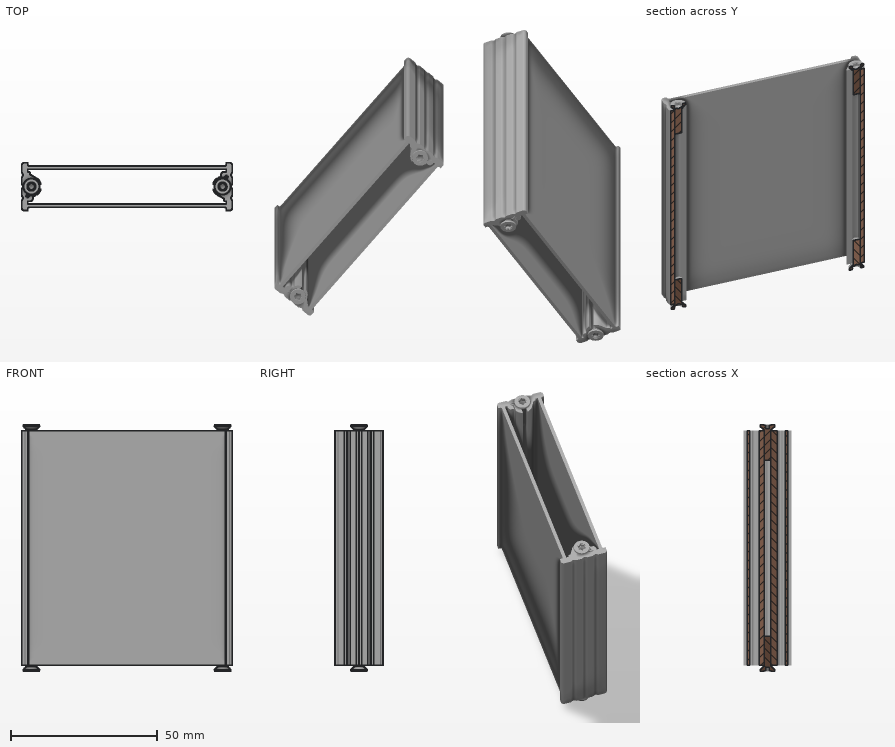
import cadquery as cq
import math


overall_width = 71.8
overall_depth = 16.4
overall_height = 84.0
shell_length = 80.0
half_width = overall_width / 2
half_depth = overall_depth / 2

wall_thickness = 2.2
wall_corner_radius = 1.0
groove_pitch = 3.95
groove_half_width = 1.0
groove_half_bottom = 0.2
groove_depth = 0.4

panel_outer_y = 7.05
panel_thickness = 1.2
panel_inner_y = panel_outer_y - panel_thickness
panel_chamfer = 0.29
panel_overlap = 0.4

screw_inset = 3.4
screw_x = half_width - screw_inset
boss_radius = 3.4
boss_flank_angle = math.radians(30)
hole_diameter = 2.7
slot_half_width = 0.8

rail_y = 5.0
upper_rail_inset = 2.9
upper_rail_chamfer = 0.3
lower_rail_inset = 3.95
lower_rail_radius = 1.1

slit_width = 0.25
inner_slit_path = [(2.2, 0.0), (2.0, -2.4), (1.5, -3.4)]
lower_slit_path = [(2.0, -3.9), (2.8, -3.1), (5.9, -3.1)]

head_top_diameter = 5.4
head_rim_diameter = 5.55
head_rim = 0.6
neck_diameter = 3.2
cone_height = (head_rim_diameter - neck_diameter) / 2
head_height = (overall_height - shell_length) / 2
shank_length = 10.1
socket_diameter = 2.9
socket_step = 0.2
lobe_count = 6
lobe_tip_radius = 1.4
lobe_valley_radius = 1.1
socket_depth = 1.3
socket_cone_depth = 0.5


def from_wall(inset, y):
    """Point at an inset from the outer face of the -X wall."""
    return (inset - half_width, y)


def section():
    """Workplane at the lower end of the shells."""
    return cq.Workplane("XY").workplane(offset=-shell_length / 2)


def prism(points):
    """Polygon of (inset, y) points, extruded along the shells."""
    corners = [from_wall(inset, y) for inset, y in points]
    return section().polyline(corners).close().extrude(shell_length)


def half_turn(body):
    return body.rotate((0, 0, 0), (0, 0, 1), 180)


def wall():
    """Side wall with rounded outer corners and three grooves."""
    center = from_wall(wall_thickness / 2, 0)
    body = section().center(*center).rect(wall_thickness, overall_depth).extrude(shell_length)
    body = body.edges("|Z and <X").fillet(wall_corner_radius)
    for y in (-groove_pitch, 0, groove_pitch):
        body = body.cut(prism([
            (0, y + groove_half_width),
            (groove_depth, y + groove_half_bottom),
            (groove_depth, y - groove_half_bottom),
            (0, y - groove_half_width),
        ]))
    return body


def boss():
    """Round screw boss, joined to the wall by a board rail above and below."""
    root = wall_thickness / 2
    arc_start = (
        screw_inset + boss_radius * math.sin(boss_flank_angle),
        boss_radius * math.cos(boss_flank_angle),
    )
    flank_root_y = arc_start[1] + (arc_start[0] - upper_rail_inset) * math.tan(boss_flank_angle)
    arc_end_y = -math.sqrt(boss_radius**2 - (lower_rail_inset - screw_inset)**2)
    return (
        section()
        .moveTo(*from_wall(root, rail_y))
        .lineTo(*from_wall(upper_rail_inset - upper_rail_chamfer, rail_y))
        .lineTo(*from_wall(upper_rail_inset, rail_y - upper_rail_chamfer))
        .lineTo(*from_wall(upper_rail_inset, flank_root_y))
        .lineTo(*from_wall(*arc_start))
        .threePointArc(from_wall(screw_inset + boss_radius, 0), from_wall(lower_rail_inset, arc_end_y))
        .lineTo(*from_wall(lower_rail_inset, lower_rail_radius - rail_y))
        .radiusArc(from_wall(lower_rail_inset - lower_rail_radius, -rail_y), lower_rail_radius)
        .lineTo(*from_wall(root, -rail_y))
        .close()
        .extrude(shell_length)
    )


def slit(path, shift_x, shift_y):
    """Slit between a path and its copy shifted by the slit width."""
    shifted = [(inset + shift_x, y + shift_y) for inset, y in path]
    return prism(path + shifted[::-1])


def side_profile():
    """Complete -X side of the case, before it is parted into the two shells."""
    hole = section().center(*from_wall(screw_inset, 0)).circle(hole_diameter / 2).extrude(shell_length)
    slot_end = screw_inset + boss_radius
    slot = prism([
        (screw_inset, slot_half_width),
        (slot_end, slot_half_width),
        (slot_end, -slot_half_width),
        (screw_inset, -slot_half_width),
    ])
    side = wall().union(boss()).cut(hole).cut(slot)
    side = side.cut(slit(inner_slit_path, slit_width, 0))
    return side.cut(slit(lower_slit_path, 0, slit_width))


def panel():
    """Flat panel on the +Y side, with a small chamfer up to each wall."""
    start = wall_thickness
    end = overall_width - wall_thickness
    shoulder_y = panel_outer_y + panel_chamfer
    return prism([
        (start - panel_overlap, panel_inner_y),
        (start - panel_overlap, shoulder_y),
        (start, shoulder_y),
        (start + panel_chamfer, panel_outer_y),
        (end - panel_chamfer, panel_outer_y),
        (end, shoulder_y),
        (end + panel_overlap, shoulder_y),
        (end + panel_overlap, panel_inner_y),
    ])


def half_shell():
    """Shell on the +Y side: solid boss half at -X, spring arm half at +X."""
    side = side_profile()
    upper_zone = section().center(0, half_depth).rect(overall_width, overall_depth).extrude(shell_length)
    upper_side = side.intersect(upper_zone)
    lower_side = side.cut(upper_zone)
    return panel().union(upper_side).union(half_turn(lower_side))


def screw_socket(top):
    """Six-lobed recess with a shallow round lead-in and a conical floor."""
    lobes = []
    for step in range(2 * lobe_count):
        radius = lobe_valley_radius if step % 2 else lobe_tip_radius
        angle = math.pi * step / lobe_count
        lobes.append((radius * math.cos(angle), radius * math.sin(angle)))
    plane = cq.Workplane("XY").workplane(offset=top)
    lead_in = plane.circle(socket_diameter / 2).extrude(-socket_step)
    recess = plane.spline(lobes, periodic=True).close().extrude(-socket_depth)
    floor = top - socket_depth
    cone = (
        cq.Workplane("XZ")
        .polyline([(0, floor), (lobe_valley_radius, floor), (0, floor - socket_cone_depth)])
        .close()
        .revolve(360, (0, 0), (0, 1))
    )
    return lead_in.union(recess).union(cone)


def screw():
    """Screw on the Z axis, in place at the upper end of the case."""
    top = overall_height / 2
    rim_bottom = top - head_rim
    head_bottom = top - head_height
    shank_end = head_bottom - shank_length
    body = (
        cq.Workplane("XZ")
        .polyline([
            (0, top),
            (head_top_diameter / 2, top),
            (head_rim_diameter / 2, rim_bottom),
            (neck_diameter / 2, rim_bottom - cone_height),
            (neck_diameter / 2, head_bottom),
            (hole_diameter / 2, head_bottom),
            (hole_diameter / 2, shank_end),
            (0, shank_end),
        ])
        .close()
        .revolve(360, (0, 0), (0, 1))
    )
    return body.cut(screw_socket(top))


upper_shell = half_shell()
lower_shell = half_turn(upper_shell)

top_screw = screw()
bottom_screw = top_screw.rotate((0, 0, 0), (1, 0, 0), 180)
screws = []
for x in (-screw_x, screw_x):
    for body in (top_screw, bottom_screw):
        screws.append(body.translate((x, 0, 0)).val())

result = cq.Compound.makeCompound([upper_shell.val(), lower_shell.val(), *screws])